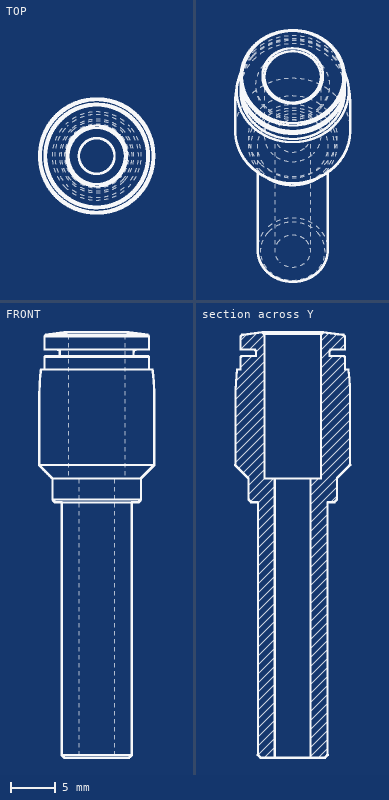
import cadquery as cq
import math

tube_diameter = 7.94
bore_diameter = 4.0
socket_diameter = 6.35
collar_diameter = 10.0
body_diameter = 13.0
crown_diameter = 12.6
rim_diameter = 11.8
neck_diameter = 8.35

collar_bottom = 28.8
collar_top = 31.5
body_shoulder = 40.9
crown_top = 43.8
rim_top = 45.3
flange_bottom = 46.0
flange_edge = 47.7
total_height = 48.0

socket_floor = collar_top

tube_chamfer = 0.35
collar_chamfer = 0.3
rim_chamfer = 0.12
neck_fillet = 0.2
flange_chamfer = 0.2
mouth_chamfer = 0.25

tube_radius = tube_diameter / 2
collar_radius = collar_diameter / 2
body_radius = body_diameter / 2
crown_radius = crown_diameter / 2
rim_radius = rim_diameter / 2
neck_radius = neck_diameter / 2
socket_radius = socket_diameter / 2
mouth_radius = socket_radius + mouth_chamfer

body_bottom = collar_top + body_radius - collar_radius


def crown_midpoint():
    """Middle of the arc that leaves the straight body tangentially and narrows upward."""
    rise = crown_top - body_shoulder
    inset = body_radius - crown_radius
    arc_radius = (rise**2 + inset**2) / (2 * inset)
    half_angle = math.asin(rise / arc_radius) / 2
    middle_radius = body_radius - arc_radius * (1 - math.cos(half_angle))
    return middle_radius, body_shoulder + arc_radius * math.sin(half_angle)


def neck_fillet_midpoint():
    """Middle of the concave quarter arc between the neck and the flange underside."""
    offset = neck_fillet * (1 - math.cos(math.radians(45)))
    return neck_radius + offset, flange_bottom - offset


def make_outside():
    """Solid of revolution with the full outer outline, drawn as radius against height."""
    outline = (
        cq.Workplane("XZ")
        .moveTo(0, 0)
        .lineTo(tube_radius - tube_chamfer, 0)
        .lineTo(tube_radius, tube_chamfer)
        .lineTo(tube_radius, collar_bottom)
        .lineTo(collar_radius - collar_chamfer, collar_bottom)
        .lineTo(collar_radius, collar_bottom + collar_chamfer)
        .lineTo(collar_radius, collar_top)
        .lineTo(body_radius, body_bottom)
        .lineTo(body_radius, body_shoulder)
        .threePointArc(crown_midpoint(), (crown_radius, crown_top))
        .lineTo(rim_radius, crown_top)
        .lineTo(rim_radius, rim_top - rim_chamfer)
        .lineTo(rim_radius - rim_chamfer, rim_top)
        .lineTo(neck_radius, rim_top)
        .lineTo(neck_radius, flange_bottom - neck_fillet)
        .threePointArc(neck_fillet_midpoint(), (neck_radius + neck_fillet, flange_bottom))
        .lineTo(rim_radius, flange_bottom)
        .lineTo(rim_radius, flange_edge - flange_chamfer)
        .lineTo(rim_radius - flange_chamfer, flange_edge)
        .lineTo(mouth_radius, total_height)
        .lineTo(0, total_height)
        .close()
    )
    return outline.revolve(360, (0, 0, 0), (0, 1, 0))


def make_passage():
    """Through bore, wider tube socket and the chamfered mouth of the socket."""
    bore_radius = bore_diameter / 2
    outline = (
        cq.Workplane("XZ")
        .moveTo(0, 0)
        .lineTo(bore_radius, 0)
        .lineTo(bore_radius, socket_floor)
        .lineTo(socket_radius, socket_floor)
        .lineTo(socket_radius, total_height - mouth_chamfer)
        .lineTo(mouth_radius, total_height)
        .lineTo(0, total_height)
        .close()
    )
    return outline.revolve(360, (0, 0, 0), (0, 1, 0))


result = make_outside().cut(make_passage())